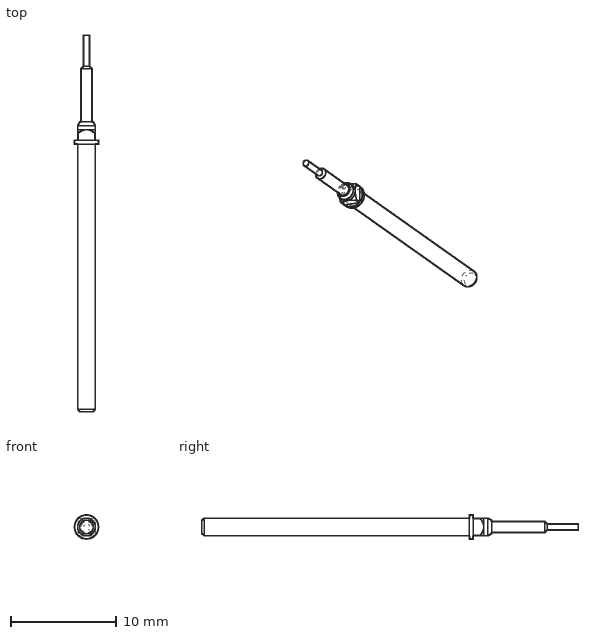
import cadquery as cq

LENGTH = 35.8

TIP_DIAMETER = 0.6
PIN_DIAMETER = 1.07
COLLAR_NOSE_DIAMETER = 1.3
BODY_DIAMETER = 1.7
FLANGE_DIAMETER = 2.3
TAIL_END_DIAMETER = 1.3

TIP_LENGTH = 2.97
PIN_CONE_LENGTH = 0.2
PIN_LENGTH = 5.05
COLLAR_CONE_LENGTH = 0.35
COLLAR_LENGTH = 0.4
SQUARE_LENGTH = 1.0
FLANGE_THICKNESS = 0.35
TAIL_CHAMFER_LENGTH = 0.25

CORNER_DIAMETER = FLANGE_DIAMETER

tip_end = LENGTH / 2
tail_end = -LENGTH / 2
tip_base = tip_end - TIP_LENGTH
pin_top = tip_base - PIN_CONE_LENGTH
pin_base = pin_top - PIN_LENGTH
collar_top = pin_base - COLLAR_CONE_LENGTH
square_top = collar_top - COLLAR_LENGTH
flange_top = square_top - SQUARE_LENGTH
flange_base = flange_top - FLANGE_THICKNESS
tail_chamfer_top = tail_end + TAIL_CHAMFER_LENGTH


def turned(profile):
    """Revolve a list of (diameter, y) points around the Y axis."""
    points = [(diameter / 2, y) for diameter, y in profile]
    axis_start = (0, profile[0][1])
    axis_end = (0, profile[-1][1])
    outline = cq.Workplane("XY").polyline([axis_start] + points + [axis_end]).close()
    return outline.revolve(360, (0, 0), (0, 1))


def make_spindle():
    """All round sections; the square section is filled with a plain core."""
    return turned([
        (TIP_DIAMETER, tip_end),
        (TIP_DIAMETER, tip_base),
        (PIN_DIAMETER, pin_top),
        (PIN_DIAMETER, pin_base),
        (COLLAR_NOSE_DIAMETER, pin_base),
        (BODY_DIAMETER, collar_top),
        (BODY_DIAMETER, flange_top),
        (FLANGE_DIAMETER, flange_top),
        (FLANGE_DIAMETER, flange_base),
        (BODY_DIAMETER, flange_base),
        (BODY_DIAMETER, tail_chamfer_top),
        (TAIL_END_DIAMETER, tail_end),
    ])


def make_square():
    """Square section with its corners turned off by a 45 degree cone and a cylinder."""
    block = cq.Workplane("XY").box(BODY_DIAMETER, SQUARE_LENGTH, BODY_DIAMETER)
    block = block.translate((0, flange_top + SQUARE_LENGTH / 2, 0))
    cone_base = square_top - (CORNER_DIAMETER - BODY_DIAMETER) / 2
    envelope = turned([
        (BODY_DIAMETER, square_top),
        (CORNER_DIAMETER, cone_base),
        (CORNER_DIAMETER, flange_top),
    ])
    return block.intersect(envelope)


result = make_spindle().union(make_square())